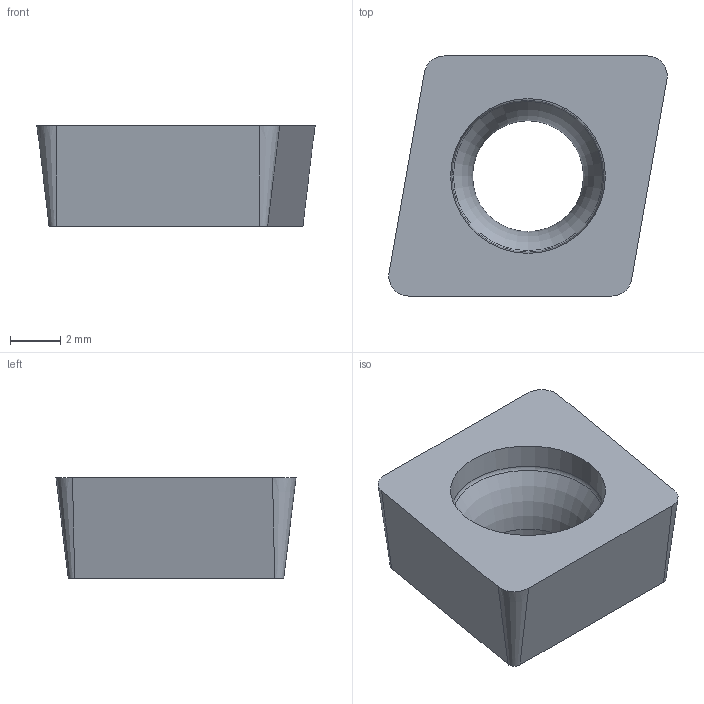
import cadquery as cq
import math

inscribed_diameter = 9.525
thickness = 3.97
corner_angle = 80.0
corner_radius = 0.794
clearance_angle = 7.0

bore_diameter = 4.4
mouth_diameter = 6.14
mouth_depth = 0.95
mouth_taper = 3.0
root_radius = 0.3
seat_radius = 3.9


def insert_body():
    """Rhombus with rounded corners, full size on top and shrinking towards the bottom."""
    half_height = inscribed_diameter / 2
    half_side = half_height / math.sin(math.radians(corner_angle))
    lean = half_height / math.tan(math.radians(corner_angle))
    corners = [
        (-half_side - lean, -half_height),
        (half_side - lean, -half_height),
        (half_side + lean, half_height),
        (-half_side + lean, half_height),
    ]
    outline = cq.Sketch().polygon(corners + corners[:1]).vertices().fillet(corner_radius)
    return (
        cq.Workplane("XY", origin=(0, 0, thickness))
        .placeSketch(outline)
        .extrude(-thickness, taper=clearance_angle)
    )


def centre_hole():
    """Solid of revolution about Z: root and seat arcs join the mouth and the bore tangentially."""
    bore_radius = bore_diameter / 2
    mouth_radius = mouth_diameter / 2

    taper = math.radians(mouth_taper)
    mouth_floor_radius = mouth_radius - mouth_depth * math.tan(taper)
    root_centre_r = mouth_floor_radius - root_radius * math.cos(taper)
    root_centre_z = thickness - mouth_depth + root_radius * math.sin(taper)

    seat_centre_r = bore_radius + seat_radius
    centre_distance = root_radius + seat_radius
    join_slope = math.acos((seat_centre_r - root_centre_r) / centre_distance)
    seat_centre_z = root_centre_z - centre_distance * math.sin(join_slope)

    def root_point(slope):
        return (
            root_centre_r + root_radius * math.cos(slope),
            root_centre_z - root_radius * math.sin(slope),
        )

    def seat_point(slope):
        return (
            seat_centre_r - seat_radius * math.cos(slope),
            seat_centre_z + seat_radius * math.sin(slope),
        )

    return (
        cq.Workplane("XZ")
        .moveTo(0, 0)
        .lineTo(bore_radius, 0)
        .lineTo(bore_radius, seat_centre_z)
        .threePointArc(seat_point(join_slope / 2), seat_point(join_slope))
        .threePointArc(root_point((join_slope + taper) / 2), root_point(taper))
        .lineTo(mouth_radius, thickness)
        .lineTo(0, thickness)
        .close()
        .revolve(360, (0, 0, 0), (0, 1, 0))
    )


result = insert_body().cut(centre_hole())